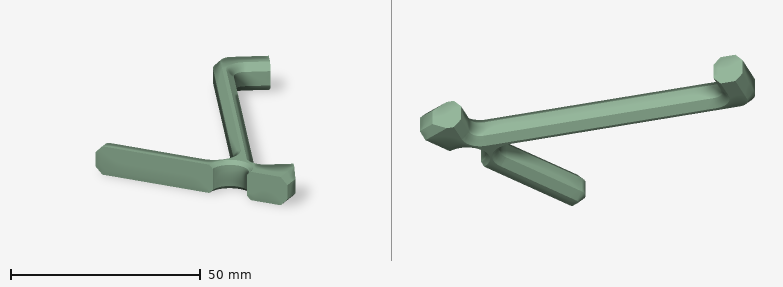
import cadquery as cq
import math

thickness = 8.0
bar_width = 5.0
base_left = -39.2
base_right = 16.8
overall_depth = 79.5

lean_angle = 120
foot_x = 4.1
foot_y = 6.8
arm_length = 70.0
lip_length = 10.0

small_round = 3.0
large_round = 5.0
notch_radius = 5.0
notch_chamfer = 1.0
edge_chamfer = 2.0

lean = math.radians(lean_angle)
along_x, along_y = math.cos(lean), math.sin(lean)
across_x, across_y = along_y, -along_x


def arm_point(across, along):
    """Return the point at the given offsets from the inner corner of the foot."""
    return (
        foot_x + across * across_x + along * along_x,
        foot_y + across * across_y + along * along_y,
    )


inner_foot = (foot_x, foot_y)
inner_head = arm_point(0, arm_length)
hook_tip_inner = arm_point(lip_length, arm_length)
hook_thickness = (overall_depth - hook_tip_inner[1]) / along_y
hook_tip_outer = arm_point(lip_length, arm_length + hook_thickness)
outer_head = arm_point(-bar_width, arm_length + hook_thickness)

arm_back = arm_point(-bar_width, 0)
acute_corner = (arm_back[0] + (bar_width - arm_back[1]) * along_x / along_y, bar_width)

lip_tip = arm_point(lip_length, 0)
lip_end_foot = (base_right, lip_tip[1] + (base_right - lip_tip[0]) * along_y / along_x)
base_top_left = (base_left, bar_width)


def edges_at(body, point):
    """Select the upright edge passing through a corner of the outline."""
    return body.edges("|Z").edges(cq.selectors.NearestToPointSelector((*point, thickness / 2)))


def make_blank():
    """Extrude the outline and round its corners."""
    outline = [
        (base_left, 0),
        (base_right, 0),
        lip_end_foot,
        lip_tip,
        inner_foot,
        inner_head,
        hook_tip_inner,
        hook_tip_outer,
        outer_head,
        acute_corner,
        base_top_left,
    ]
    rounds = [
        (inner_foot, small_round),
        (inner_head, small_round),
        (base_top_left, small_round),
        (outer_head, large_round),
        (acute_corner, large_round),
    ]
    body = cq.Workplane("XY").polyline(outline).close().extrude(thickness)
    for corner, radius in rounds:
        body = edges_at(body, corner).fillet(radius)
    return body


def chamfer_long_edges(body):
    """Chamfer both faces along the back of the stand and along its front."""
    back_edge = (base_left, bar_width / 2)
    front_edge = arm_point(0, arm_length / 2)
    for x, y in (back_edge, front_edge):
        for z in (0, thickness):
            nearest = cq.selectors.NearestToPointSelector((x, y, z))
            body = body.edges(nearest).chamfer(edge_chamfer)
    return body


def right_end_cutter():
    """Make the two wedges that bevel the upright right-hand end."""
    wedges = cq.Workplane("XZ")
    for face_z, inward in ((0, 1), (thickness, -1)):
        wedges = wedges.polyline([
            (base_right - edge_chamfer, face_z),
            (base_right, face_z),
            (base_right, face_z + inward * edge_chamfer),
        ]).close()
    return wedges.extrude(-overall_depth)


def notch_cutter():
    """Make the notch bore with a countersink at each face."""
    rim_radius = notch_radius + notch_chamfer
    profile = [
        (0, 0),
        (rim_radius, 0),
        (notch_radius, notch_chamfer),
        (notch_radius, thickness - notch_chamfer),
        (rim_radius, thickness),
        (0, thickness),
    ]
    return cq.Workplane("XZ").polyline(profile).close().revolve(360, (0, 0), (0, 1))


result = chamfer_long_edges(make_blank()).cut(right_end_cutter()).cut(notch_cutter())